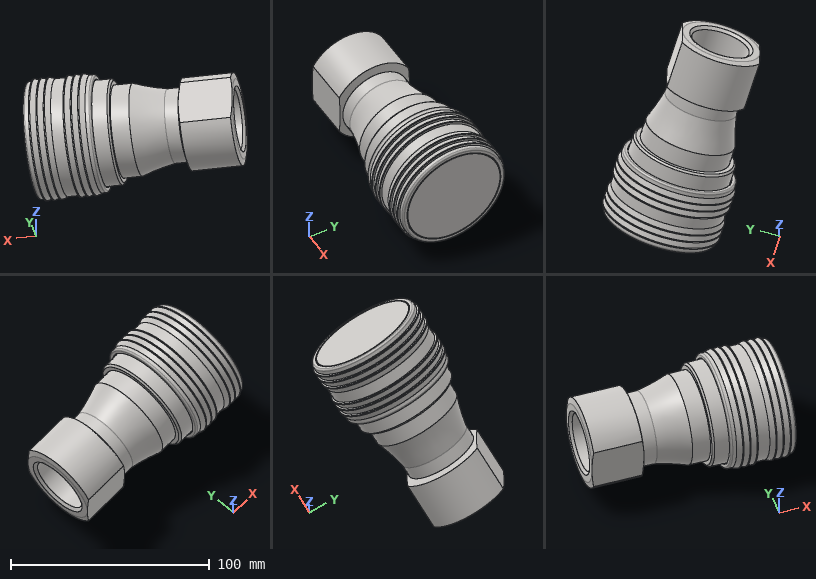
import cadquery as cq
import math

total_length = 105.6

wrench_diameter = 47.3
across_flats = 40.8
wrench_chamfer_angle = math.radians(15)
wrench_shoulder_x = 26.8

neck_diameter = 38.0
flare_start_x = 35.1
flare_end_x = 52.4
flare_sag = 0.4
barrel_start_x = 61.9
barrel_diameter = 54.0
barrel_chamfer = 1.1

bore_diameter = 30.3
bore_mouth_diameter = 33.4
bore_mouth_depth = 1.5
bore_floor_diameter = 28.3
bore_depth = wrench_shoulder_x
bore_floor_cone_length = 1.1

sleeve_start_x = 70.6
sleeve_diameter = 60.0
sleeve_bore_diameter = 54.9
sleeve_fillet = 1.0

grip_diameter = 62.0
grip_ramp_length = 3.0
grip_crest_width = 0.6
grip_fall_length = 0.2
grip_pitch = grip_ramp_length + grip_crest_width + grip_fall_length
rings_per_group = 3
grip_group_starts = (73.6, 91.2)


def revolve_about_x(profile):
    """Revolve a profile drawn as (X, radius) once around the X axis."""
    return profile.close().revolve(360, (0, 0, 0), (1, 0, 0))


def make_bore():
    """Blind bore with a countersunk mouth and a short cone at its floor."""
    bore_radius = bore_diameter / 2
    return revolve_about_x(
        cq.Workplane("XY")
        .moveTo(0, 0)
        .lineTo(0, bore_mouth_diameter / 2)
        .lineTo(bore_mouth_depth, bore_radius)
        .lineTo(bore_depth, bore_radius)
        .lineTo(bore_depth + bore_floor_cone_length, bore_floor_diameter / 2)
        .lineTo(bore_depth + bore_floor_cone_length, 0)
    )


def make_body():
    """Turned body with two wrench flats and a blind bore."""
    wrench_radius = wrench_diameter / 2
    neck_radius = neck_diameter / 2
    barrel_radius = barrel_diameter / 2
    face_radius = across_flats / 2
    chamfer_slope = math.tan(wrench_chamfer_angle)
    front_chamfer_length = (wrench_radius - face_radius) * chamfer_slope
    rear_chamfer_length = (wrench_radius - neck_radius) * chamfer_slope
    flare_middle = (
        (flare_start_x + flare_end_x) / 2,
        (neck_radius + wrench_radius) / 2 - flare_sag,
    )
    turned = revolve_about_x(
        cq.Workplane("XY")
        .moveTo(0, 0)
        .lineTo(0, face_radius)
        .lineTo(front_chamfer_length, wrench_radius)
        .lineTo(wrench_shoulder_x, wrench_radius)
        .lineTo(wrench_shoulder_x + rear_chamfer_length, neck_radius)
        .lineTo(flare_start_x, neck_radius)
        .threePointArc(flare_middle, (flare_end_x, wrench_radius))
        .lineTo(barrel_start_x, wrench_radius)
        .lineTo(barrel_start_x, barrel_radius - barrel_chamfer)
        .lineTo(barrel_start_x + barrel_chamfer, barrel_radius)
        .lineTo(total_length, barrel_radius)
        .lineTo(total_length, 0)
    )

    flat_length = wrench_shoulder_x + rear_chamfer_length
    for side in (-1, 1):
        flat_cutter = cq.Workplane("XY").box(
            flat_length, wrench_diameter, wrench_diameter, centered=(False, True, True)
        ).translate((0, side * (across_flats + wrench_diameter) / 2, 0))
        turned = turned.cut(flat_cutter)
    return turned.cut(make_bore())


def make_sleeve():
    """Ring with rounded outer rims and two groups of sawtooth grip rings."""
    sleeve_radius = sleeve_diameter / 2
    bore_radius = sleeve_bore_diameter / 2
    grip_radius = grip_diameter / 2
    rim_radius = sleeve_radius - sleeve_fillet
    fillet_mid_offset = sleeve_fillet * (1 - math.sqrt(0.5))
    mid_radius = sleeve_radius - fillet_mid_offset

    profile = (
        cq.Workplane("XY")
        .moveTo(sleeve_start_x, bore_radius)
        .lineTo(sleeve_start_x, rim_radius)
        .threePointArc(
            (sleeve_start_x + fillet_mid_offset, mid_radius),
            (sleeve_start_x + sleeve_fillet, sleeve_radius),
        )
    )
    for group_start in grip_group_starts:
        profile = profile.lineTo(group_start, sleeve_radius)
        for ring in range(rings_per_group):
            crest_x = group_start + ring * grip_pitch + grip_ramp_length
            crest_end_x = crest_x + grip_crest_width
            profile = profile.lineTo(crest_x, grip_radius)
            profile = profile.lineTo(crest_end_x, grip_radius)
            profile = profile.lineTo(crest_end_x + grip_fall_length, sleeve_radius)
    profile = (
        profile.lineTo(total_length - sleeve_fillet, sleeve_radius)
        .threePointArc(
            (total_length - fillet_mid_offset, mid_radius),
            (total_length, rim_radius),
        )
        .lineTo(total_length, bore_radius)
    )
    return revolve_about_x(profile)


body = make_body()
sleeve = make_sleeve()

result = cq.Compound.makeCompound([body.val(), sleeve.val()])